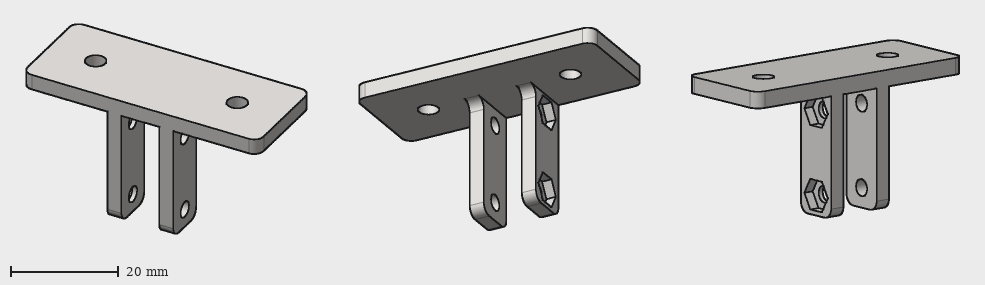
import cadquery as cq
import math

plate_length = 50
plate_width = 20
plate_thickness = 3.2
corner_radius = 2
plate_hole_diameter = 4
plate_hole_spacing = 30

total_height = 26.5
leg_thickness = 3
leg_width = 8.75
leg_gap = 8
root_fillet_radius = 2

cross_hole_diameter = 3.2
cross_hole_spacing = 16
cross_hole_drop = 3.5
nut_across_flats = 5.8
nut_pocket_depth = 2

front_y = -plate_width / 2
back_y = front_y + leg_width
leg_outer_x = leg_gap / 2 + leg_thickness
cross_hole_y = front_y + leg_width / 2
upper_hole_z = -plate_thickness - cross_hole_drop
cross_hole_points = [
    (cross_hole_y, upper_hole_z),
    (cross_hole_y, upper_hole_z - cross_hole_spacing),
]


def make_plate():
    """Rounded plate with two vertical mounting holes."""
    plate = (
        cq.Workplane("XY")
        .box(plate_length, plate_width, plate_thickness, centered=(True, True, False))
        .edges("|Z")
        .fillet(corner_radius)
        .translate((0, 0, -plate_thickness))
    )
    return (
        plate.faces(">Z")
        .workplane()
        .rarray(plate_hole_spacing, 0.5, 2, 1)
        .hole(plate_hole_diameter)
    )


def make_leg(start_x):
    """Leg with rounded lower corners and a concave fillet where its back meets the plate."""
    underside_z = -plate_thickness
    corner_z = -total_height + corner_radius
    return (
        cq.Workplane("YZ", origin=(start_x, 0, 0))
        .moveTo(front_y, underside_z)
        .lineTo(front_y, corner_z)
        .radiusArc((front_y + corner_radius, -total_height), -corner_radius)
        .lineTo(back_y - corner_radius, -total_height)
        .radiusArc((back_y, corner_z), -corner_radius)
        .lineTo(back_y, underside_z - root_fillet_radius)
        .radiusArc((back_y + root_fillet_radius, underside_z), root_fillet_radius)
        .close()
        .extrude(leg_thickness)
    )


def make_cross_holes():
    """Cutters for the round holes that pass through both legs."""
    return (
        cq.Workplane("YZ", origin=(-leg_outer_x, 0, 0))
        .pushPoints(cross_hole_points)
        .circle(cross_hole_diameter / 2)
        .extrude(2 * leg_outer_x)
    )


def make_nut_pockets():
    """Hexagonal cutters, each with two corners pointing along Y."""
    across_corners = nut_across_flats / math.cos(math.radians(30))
    return (
        cq.Workplane("YZ", origin=(-leg_outer_x, 0, 0))
        .pushPoints(cross_hole_points)
        .polygon(6, across_corners)
        .extrude(nut_pocket_depth)
    )


result = make_plate()
for leg_start_x in (-leg_outer_x, leg_gap / 2):
    result = result.union(make_leg(leg_start_x))
result = result.cut(make_cross_holes()).cut(make_nut_pockets())